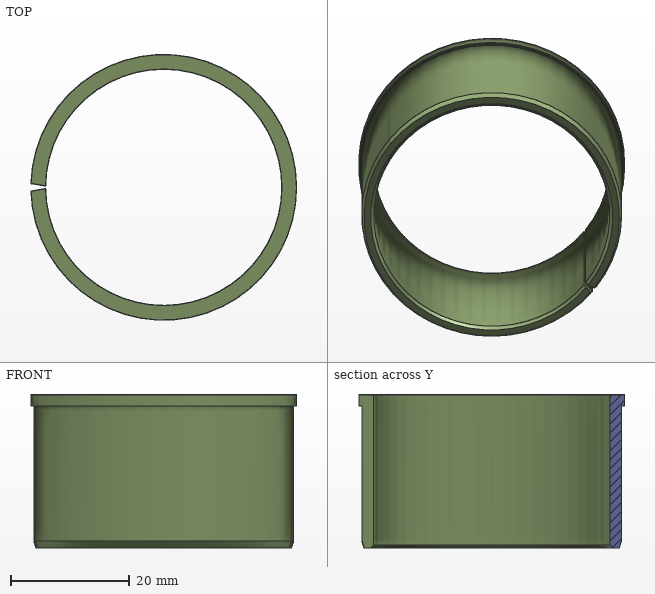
import cadquery as cq

flange_radius = 22.5
body_radius = 22.0
bore_radius = 20.0
total_height = 26.0
flange_height = 2.0
lead_in_height = 1.15
lead_in_depth = 0.4
bore_chamfer = 0.5
gap_inner_width = 0.4
gap_outer_width = 1.25

flange_bottom = total_height - flange_height


def flanged_sleeve():
    """Revolve the wall section about Z."""
    section = [
        (bore_radius + bore_chamfer, 0),
        (body_radius - lead_in_depth, 0),
        (body_radius, lead_in_height),
        (body_radius, flange_bottom),
        (flange_radius, flange_bottom),
        (flange_radius, total_height),
        (bore_radius, total_height),
        (bore_radius, bore_chamfer),
    ]
    return cq.Workplane("XZ").polyline(section).close().revolve(360, (0, 0), (0, 1))


def split_wedge():
    """Full-height wedge on the -X side, widening outwards past the rim."""
    widening = (gap_outer_width - gap_inner_width) / (flange_radius - bore_radius)
    clearance = 0.45
    inner_x = bore_radius - clearance
    outer_x = flange_radius + clearance
    inner_half = (gap_inner_width - widening * clearance) / 2
    outer_half = (gap_outer_width + widening * clearance) / 2
    outline = [
        (-inner_x, -inner_half),
        (-inner_x, inner_half),
        (-outer_x, outer_half),
        (-outer_x, -outer_half),
    ]
    return cq.Workplane("XY").polyline(outline).close().extrude(total_height)


result = flanged_sleeve().cut(split_wedge())